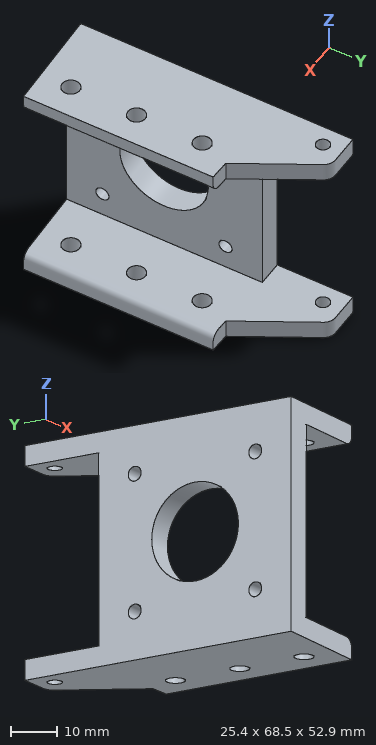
import cadquery as cq
import math

depth = 25.4
length = 68.5
height = 52.85
web_thickness = 6.3
flange_thickness = 4.7

end_angle = 2.0
shoulder_x = 20.4
shoulder_y = 48.8
ear_width = 9.05
ear_corner_radius = 3.0
tip_radius = 2.25

web_length = 49.5
motor_y = 24.75
bore_diameter = 22.2
screw_pitch = 31.0
screw_diameter = 3.3

flange_hole_x = 17.75
flange_hole_pitch = 16.5
flange_hole_diameter = 4.3
ear_hole_inset = 4.7
ear_hole_diameter = 3.3

inner_height = height - 2 * flange_thickness
slant = math.tan(math.radians(end_angle))


def vertical_holes(points, diameter):
    """Cutters running along Z through both flanges."""
    return cq.Workplane("XY").pushPoints(points).circle(diameter / 2).extrude(height)


def web_holes(points, diameter):
    """Cutters running along X through the web, at (Y, Z) points."""
    return cq.Workplane("YZ").pushPoints(points).circle(diameter / 2).extrude(web_thickness)


outline = [
    (0, 0),
    (depth, depth * slant),
    (depth, shoulder_y - (depth - shoulder_x) * slant),
    (shoulder_x, shoulder_y),
    (ear_width, length),
    (0, length),
]
body = cq.Workplane("XY").polyline(outline).close().extrude(height)
body = body.edges(cq.selectors.NearestToPointSelector((ear_width, length, height / 2)))
body = body.fillet(ear_corner_radius)

channel = (
    cq.Workplane("XZ")
    .moveTo(web_thickness, flange_thickness)
    .lineTo(depth - tip_radius, flange_thickness)
    .radiusArc((depth, flange_thickness - tip_radius), tip_radius)
    .lineTo(depth, height - flange_thickness + tip_radius)
    .radiusArc((depth - tip_radius, height - flange_thickness), tip_radius)
    .lineTo(web_thickness, height - flange_thickness)
    .close()
    .extrude(-length)
)
body = body.cut(channel)

web_gap = cq.Workplane("XY").box(depth, length - web_length, inner_height, centered=False)
body = body.cut(web_gap.translate((0, web_length, flange_thickness)))

half_pitch = screw_pitch / 2
motor_z = height / 2
screw_points = [
    (motor_y + side * half_pitch, motor_z + level * half_pitch)
    for side in (-1, 1)
    for level in (-1, 1)
]
body = body.cut(web_holes([(motor_y, motor_z)], bore_diameter))
body = body.cut(web_holes(screw_points, screw_diameter))

row_points = [(flange_hole_x, motor_y + i * flange_hole_pitch) for i in (-1, 0, 1)]
body = body.cut(vertical_holes(row_points, flange_hole_diameter))
ear_point = (ear_hole_inset, length - ear_hole_inset)
body = body.cut(vertical_holes([ear_point], ear_hole_diameter))

result = body